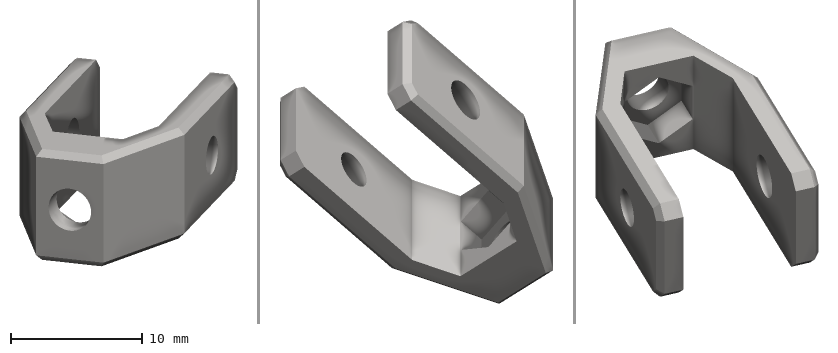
import cadquery as cq

width = 13.2
length = 21.83
height = 9.0

nose_width = 5.4
outer_bend_y = 8.15
slot_width = 9.15
slot_floor_width = 5.6
slot_floor_y = 4.45
nose_offset = 0.07
slot_bend_y = 8.12

tip_chamfer = 1.0
edge_chamfer = 0.5

nose_hole_diameter = 3.4
clearance_hole_diameter = 3.4
tight_hole_diameter = 3.0
cross_hole_y = 15.0

nut_seat_y = 2.0
nut_width_across_flats = 5.5

tolerance = 0.002


def tapered_prism(floor_y, floor_width, bend_y, full_width):
    """Full-height prism that widens from its floor to a bend, then runs straight to the tips."""
    half_floor = floor_width / 2
    half_full = full_width / 2
    outline = [
        (nose_offset - half_floor, floor_y),
        (nose_offset + half_floor, floor_y),
        (half_full, bend_y),
        (half_full, length),
        (-half_full, length),
        (-half_full, bend_y),
    ]
    return cq.Workplane("XY").polyline(outline).close().extrude(height / 2, both=True)


def outer_edges(body):
    """Edges around the outer walls, without the upright edges at the nose and bends."""
    chosen = []
    for edge in body.edges().vals():
        middle = edge.Center()
        on_side = abs(abs(middle.x) - width / 2) < tolerance
        on_top_or_bottom = abs(abs(middle.z) - height / 2) < tolerance
        around_nose = on_top_or_bottom and middle.y < outer_bend_y
        beyond_bend = on_side and middle.y > outer_bend_y + tolerance
        if around_nose or beyond_bend:
            chosen.append(edge)
    return chosen


def cross_hole(diameter, direction):
    """Hole along X through the arm on the given side."""
    return (
        cq.Workplane("YZ")
        .center(cross_hole_y, 0)
        .circle(diameter / 2)
        .extrude(direction * width / 2)
    )


body = tapered_prism(0, nose_width, outer_bend_y, width)
body = body.faces(">Y").edges("|X").chamfer(tip_chamfer)
body = body.newObject(outer_edges(body)).chamfer(edge_chamfer)

body = body.cut(tapered_prism(slot_floor_y, slot_floor_width, slot_bend_y, slot_width))

nose_hole = cq.Workplane("XZ").center(nose_offset, 0).circle(nose_hole_diameter / 2).extrude(-slot_bend_y)
body = body.cut(nose_hole)

nut_pocket = (
    cq.Workplane("XZ", origin=(nose_offset, nut_seat_y, 0))
    .polygon(6, nut_width_across_flats, circumscribed=True)
    .extrude(nut_seat_y - slot_bend_y)
)
body = body.cut(nut_pocket)

body = body.cut(cross_hole(clearance_hole_diameter, -1))
body = body.cut(cross_hole(tight_hole_diameter, 1))

result = body